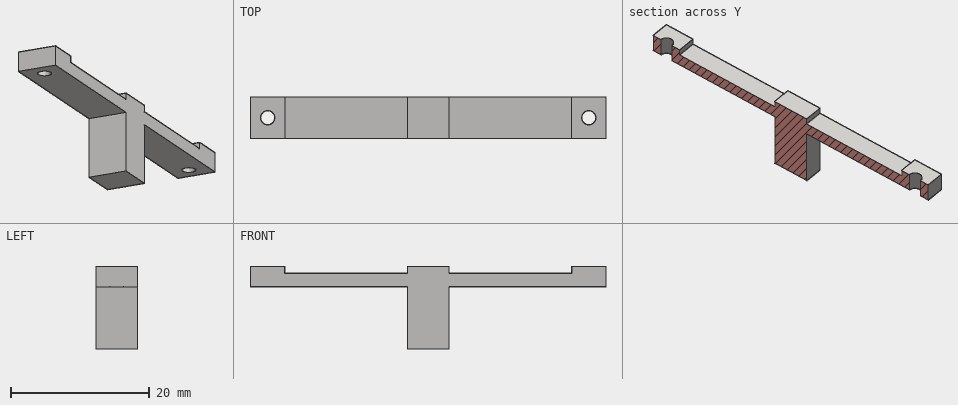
import cadquery as cq

length = 51.5
width = 6.0
height = 12.0

pad_length = 5.0
pad_height = 3.0
recess_depth = 1.0
bar_thickness = pad_height - recess_depth
hole_diameter = 2.0

stem_side = width

stem_bottom = pad_height - height
pad_offset = (length - pad_length) / 2


def block(size_x, bottom, size_z, center_x=0):
    """Full-width block standing on the given Z level."""
    return (
        cq.Workplane("XY", origin=(center_x, 0, bottom))
        .box(size_x, width, size_z, centered=(True, True, False))
    )


bar = block(length, 0, bar_thickness)
stem = block(stem_side, stem_bottom, height)
result = bar.union(stem)

for side in (-1, 1):
    pad_center = side * pad_offset
    hole = (
        cq.Workplane("XY", origin=(pad_center, 0, 0))
        .circle(hole_diameter / 2)
        .extrude(pad_height)
    )
    result = result.union(block(pad_length, 0, pad_height, pad_center)).cut(hole)